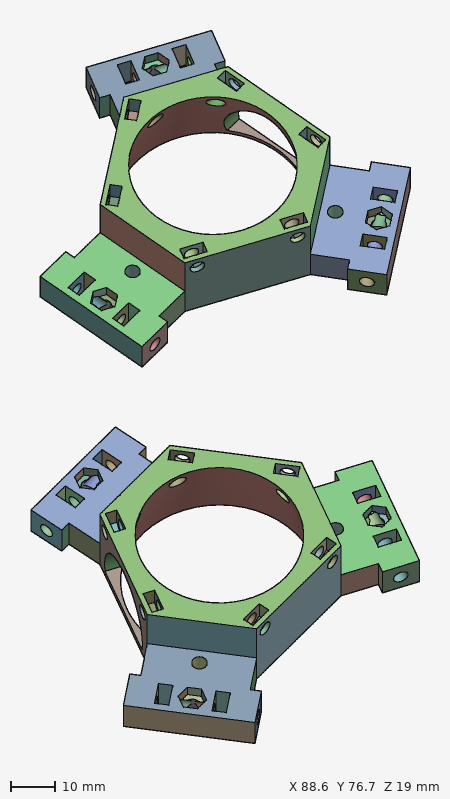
import cadquery as cq
import math

hub_height = 19.0
arm_width = 25.0
arm_wall_distance = 24.55
cavity_top_radius = 19.0
cavity_bottom_radius = 22.5

arm_height = 8.0
head_width = 30.0
head_length = 8.95
part_width = 88.6
arm_angles = (30, 150, 270)
wall_angles = (90, 210, 330)

screw_diameter = 3.5
nut_across_flats = 5.6
nut_across_corners = nut_across_flats / math.cos(math.radians(30))
arm_screw_offset = 3.5

head_screw_inset = 4.5
head_nut_depth = 2.75
slot_width = 3.3
slot_length = 5.6
slot_spacing = 13.1

trap_spacing = 24.0
trap_thickness = 2.75
trap_inset = 1.2
wall_screw_drop = 3.0
wall_screw_height = hub_height - wall_screw_drop

window_radius = 12.0
window_axis_height = arm_height / 2
window_floor = 1.6

half_width = arm_width / 2
cos30 = math.cos(math.radians(30))
sin30 = math.sin(math.radians(30))
arm_end = (part_width / 2 - head_width / 2 * sin30) / cos30
head_screw_distance = arm_end - head_screw_inset
hub_corner_angle = math.degrees(math.atan2(half_width, arm_wall_distance))
hub_corner_radius = math.hypot(half_width, arm_wall_distance)
long_wall_distance = hub_corner_radius * math.cos(math.radians(60 - hub_corner_angle))


def box(x_min, x_max, y_width, z_min, z_max, y_center=0):
    """Box between two X and two Z limits, centred on y_center."""
    block = cq.Workplane("XY").box(x_max - x_min, y_width, z_max - z_min, centered=(False, True, False))
    return block.translate((x_min, y_center, z_min))


def turned(shape, angle):
    """Shape built along +X, turned about the hub axis."""
    return shape.rotate((0, 0, 0), (0, 0, 1), angle)


def hub():
    """Six-sided prism with alternating short and long walls."""
    corners = []
    for angle in arm_angles:
        for side in (-hub_corner_angle, hub_corner_angle):
            direction = math.radians(angle + side)
            corners.append((hub_corner_radius * math.cos(direction), hub_corner_radius * math.sin(direction)))
    return cq.Workplane("XY").polyline(corners).close().extrude(hub_height)


def arm():
    """Solid bar and head, along +X."""
    bar = box(0, arm_end, arm_width, 0, arm_height)
    head = box(arm_end - head_length, arm_end, head_width, 0, arm_height)
    return bar.union(head)


def arm_openings():
    """Screw holes, nut pocket, cross hole and slots of one arm."""
    screw_places = [(arm_wall_distance + arm_screw_offset, 0), (head_screw_distance, 0)]
    screws = cq.Workplane("XY").pushPoints(screw_places).circle(screw_diameter / 2).extrude(arm_height)
    nut = cq.Workplane("XY").polygon(6, nut_across_corners).extrude(head_nut_depth)
    nut = nut.rotate((0, 0, 0), (0, 0, 1), 90).translate((head_screw_distance, 0, arm_height - head_nut_depth))
    cross_hole = (
        cq.Workplane("XZ", origin=(head_screw_distance, 0, arm_height / 2))
        .circle(screw_diameter / 2)
        .extrude(head_width / 2, both=True)
    )
    openings = screws.union(nut).union(cross_hole)
    slot_start = head_screw_distance - slot_length / 2
    for side in (-1, 1):
        slot = box(slot_start, slot_start + slot_length, slot_width, 0, arm_height, side * slot_spacing / 2)
        openings = openings.union(slot)
    return openings


def wall_openings():
    """Screw holes through a long wall, each with a nut trap open at the top."""
    trap_end = long_wall_distance - trap_inset
    trap_start = trap_end - trap_thickness
    openings = cq.Workplane("XY")
    for side in (-1, 1):
        y = side * trap_spacing / 2
        plane = cq.Workplane("YZ", origin=(0, y, wall_screw_height))
        screw = plane.circle(screw_diameter / 2).extrude(long_wall_distance)
        nut = plane.polygon(6, nut_across_corners).extrude(trap_thickness)
        nut = nut.rotate((0, y, wall_screw_height), (1, y, wall_screw_height), 90).translate((trap_start, 0, 0))
        chute = box(trap_start, trap_end, nut_across_flats, wall_screw_height, hub_height, y)
        openings = openings.union(screw).union(nut).union(chute)
    return openings


def cavity():
    """Central opening that widens toward the bottom."""
    profile = [(0, 0), (cavity_bottom_radius, 0), (cavity_top_radius, hub_height), (0, hub_height)]
    return cq.Workplane("XZ").polyline(profile).close().revolve(360, (0, 0), (0, 1))


def window():
    """Arched opening with a flat floor, through the +Y wall only."""
    tunnel = (
        cq.Workplane("XZ", origin=(0, 0, window_axis_height))
        .circle(window_radius)
        .extrude(-long_wall_distance)
    )
    above_floor = box(-window_radius, window_radius, 2 * long_wall_distance, window_floor, hub_height)
    return tunnel.intersect(above_floor)


result = hub()
for angle in arm_angles:
    result = result.union(turned(arm(), angle))
result = result.cut(cavity()).cut(window())
for angle in arm_angles:
    result = result.cut(turned(arm_openings(), angle))
for angle in wall_angles:
    result = result.cut(turned(wall_openings(), angle))